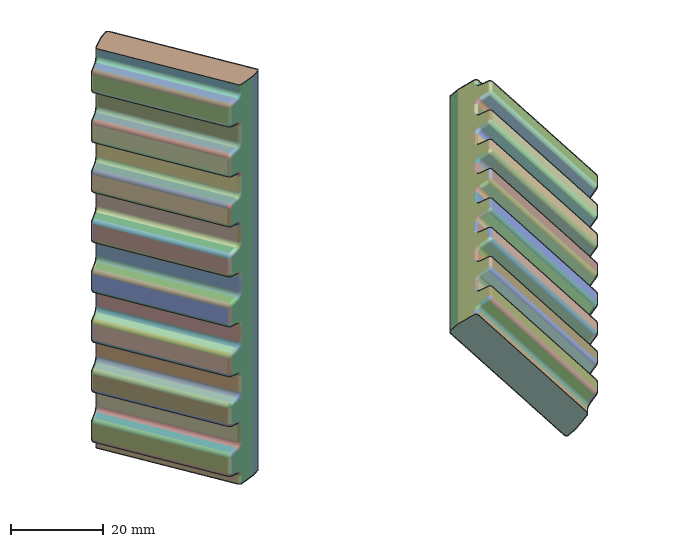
import cadquery as cq
import math

width = 36.5
depth = 11.2
length = 101.6

straight_depth = 2.8
side_taper = 10.5
back_edge_radius = 0.6

tooth_count = 8
tooth_height = 3.7
tip_half_height = 2.8
flank_angle = 10.0
corner_radius = 1.0
end_edge_radius = 0.7

selection_margin = 0.1

pitch = length / tooth_count
tip_y = -depth / 2
root_y = tip_y + tooth_height
back_y = depth / 2
knee_y = back_y - straight_depth
root_half_height = tip_half_height + tooth_height * math.tan(math.radians(flank_angle))


def make_body():
    """Long bar with a tapered cross-section, reaching out to the tooth tips."""
    half_width = width / 2
    tip_half_width = half_width - (knee_y - tip_y) * math.tan(math.radians(side_taper))
    bar = (
        cq.Workplane("XY")
        .workplane(offset=-length / 2)
        .polyline([
            (-half_width, back_y),
            (half_width, back_y),
            (half_width, knee_y),
            (tip_half_width, tip_y),
            (-tip_half_width, tip_y),
            (-half_width, knee_y),
        ])
        .close()
        .extrude(length)
    )
    return bar.edges("|Z and >Y").fillet(back_edge_radius)


def make_tooth_envelope():
    """Toothed side profile, extruded over the full width with rounded corners."""
    outline = [(back_y, -length / 2), (root_y, -length / 2)]
    for index in range(tooth_count):
        centre_z = (index - (tooth_count - 1) / 2) * pitch
        outline += [
            (root_y, centre_z - root_half_height),
            (tip_y, centre_z - tip_half_height),
            (tip_y, centre_z + tip_half_height),
            (root_y, centre_z + root_half_height),
        ]
    outline += [(root_y, length / 2), (back_y, length / 2)]
    profile = cq.Workplane("YZ").polyline(outline).close().extrude(width / 2, both=True)

    return profile.edges("|X").edges(toothed_face_box(-width, width)).fillet(corner_radius)


def toothed_face_box(x_min, x_max):
    """Selects edges on the toothed face, leaving out those on the flat ends."""
    half_length = length / 2 - selection_margin
    return cq.selectors.BoxSelector(
        (x_min, tip_y - selection_margin, -half_length),
        (x_max, root_y + selection_margin, half_length),
    )


def round_tooth_ends(part):
    """Round the edges where the toothed face meets the two tapered sides."""
    left = toothed_face_box(-width, -width / 4)
    right = toothed_face_box(width / 4, width)
    return part.edges(left + right).fillet(end_edge_radius)


result = round_tooth_ends(make_body().intersect(make_tooth_envelope()))